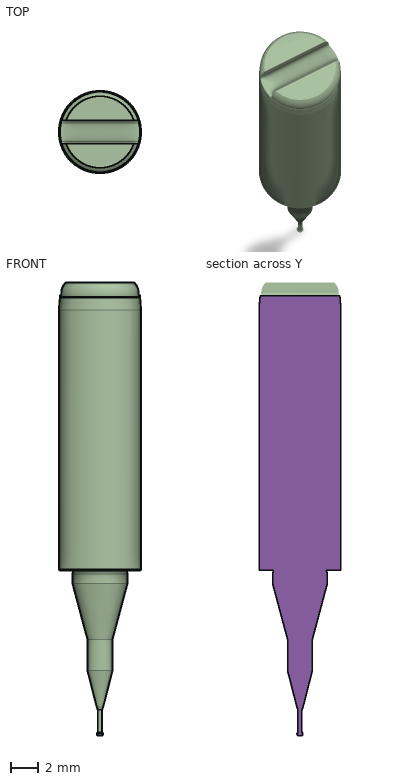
import cadquery as cq

total_height = 33.0
body_radius = 3.0

head_height = 1.05
head_radius = 2.9
head_top_radius = 2.6
head_bulge_radius = 2.85
head_bulge_depth = 0.3
collar_height = 0.95
collar_top_radius = 2.95
collar_bevel_height = 0.05
slot_width = 1.7
slot_depth = 0.95
slot_corner_radius = 0.2

body_bottom = 12.0
body_chamfer = 0.1
neck_radius = 2.0
neck_groove_radius = 1.95
neck_groove_bottom = 11.78
neck_bottom = 11.1

shank_radius = 0.92
shank_top = 7.03
shank_bottom = 4.75
stem_radius = 0.15
stem_top = 1.88
stem_cone_radius = 0.248
stem_cone_bottom = 2.1
tip_radius = 0.248
tip_height = 0.25
tip_end_radius = 0.15

head_bottom = total_height - head_height
collar_bottom = head_bottom - collar_height


def turned_body():
    """Revolve the half section, drawn as (radius, height) from the tip upward."""
    section = (
        cq.Workplane("XZ")
        .moveTo(0, 0)
        .lineTo(tip_end_radius, 0)
        .lineTo(tip_radius, tip_height / 2)
        .lineTo(stem_radius, tip_height)
        .lineTo(stem_radius, stem_top)
        .lineTo(stem_cone_radius, stem_cone_bottom)
        .lineTo(shank_radius, shank_bottom)
        .lineTo(shank_radius, shank_top)
        .lineTo(neck_radius, neck_bottom)
        .lineTo(neck_radius, neck_groove_bottom)
        .lineTo(neck_groove_radius, body_bottom)
        .lineTo(body_radius - body_chamfer, body_bottom)
        .lineTo(body_radius, body_bottom + body_chamfer)
        .lineTo(body_radius, collar_bottom)
        .lineTo(collar_top_radius, head_bottom - collar_bevel_height)
        .lineTo(head_radius, head_bottom)
        .threePointArc(
            (head_bulge_radius, total_height - head_bulge_depth),
            (head_top_radius, total_height),
        )
        .lineTo(0, total_height)
        .close()
    )
    return section.revolve(360, (0, 0, 0), (0, 1, 0))


def screwdriver_slot():
    """Slot along X through the head, with rounded floor corners."""
    return (
        cq.Workplane("XY")
        .workplane(offset=total_height - slot_depth)
        .box(2 * body_radius, slot_width, slot_depth, centered=(True, True, False))
        .edges("|X and <Z")
        .fillet(slot_corner_radius)
    )


result = turned_body().cut(screwdriver_slot())